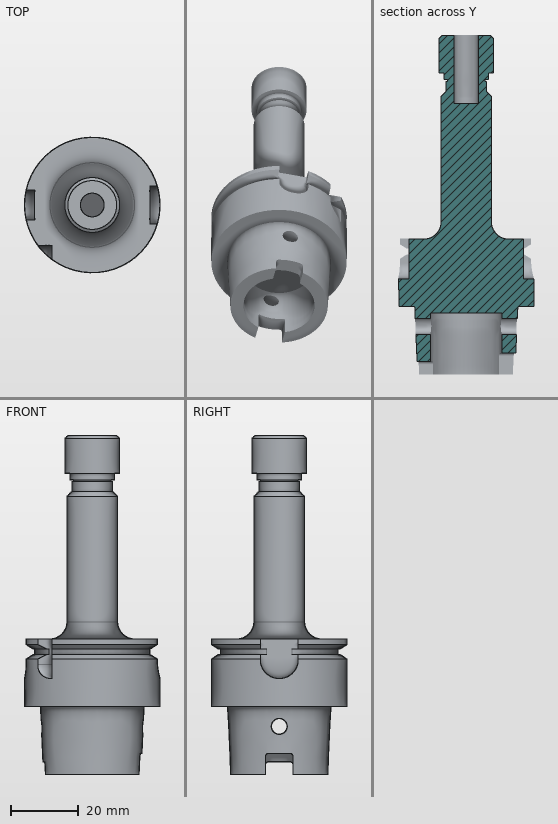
import cadquery as cq

TOTAL_HEIGHT = 100.0
FLANGE_BOTTOM = 20.0
FLANGE_TOP = 40.0
FLANGE_RADIUS = 20.0

TAPER_TOP_RADIUS = 15.3
TAPER_BOTTOM_RADIUS = 14.4
BORE_RADIUS = 10.5
BORE_DEPTH = 18.0
CROSS_HOLE_DIAMETER = 4.6
CROSS_HOLE_HEIGHT = 14.2
NOTCH_WIDTH = 8.1
NOTCH_CORNER_RADIUS = 0.8
SHALLOW_NOTCH_DEPTH = 3.7
DEEP_NOTCH_DEPTH = 6.2

GROOVE_RADIUS = 17.4
FLANK_FOOT_RADIUS = 18.0
GROOVE_MIDDLE = 36.2
GROOVE_FLOOR_WIDTH = 1.7
GROOVE_MOUTH_WIDTH = 4.3

KEYWAY_BOTTOM = 28.3
KEYWAY_FLOOR_X = 17.0
NARROW_KEYWAY_WIDTH = 8.8
WIDE_KEYWAY_WIDTH = 11.2
CORNER_SLOT_WIDTH = 8.4
CORNER_SLOT_WALL = 11.9

SHAFT_RADIUS = 7.5
SHAFT_FILLET = 5.0
SHAFT_TOP = 82.0
NECK_RADIUS = 6.0
NECK_TOP = 86.5
RELIEF_RADIUS = 5.6
COLLAR_BOTTOM = 86.9
COLLAR_RADIUS = 6.6

NUT_RADIUS = 8.1
NUT_HEIGHT = 11.2
NUT_CHAMFER = 0.9
TOOL_HOLE_DIAMETER = 7.0
TOOL_HOLE_DEPTH = 20.0


def turned_body():
    """Revolve the half profile of shank, grooved flange, shaft and nut."""
    half_floor = GROOVE_FLOOR_WIDTH / 2
    half_mouth = GROOVE_MOUTH_WIDTH / 2
    nut_bottom = TOTAL_HEIGHT - NUT_HEIGHT
    fillet_drop = SHAFT_FILLET * (1 - 0.5 ** 0.5)
    profile = (
        cq.Workplane("XZ")
        .lineTo(TAPER_BOTTOM_RADIUS, 0)
        .lineTo(TAPER_TOP_RADIUS, FLANGE_BOTTOM)
        .lineTo(FLANGE_RADIUS, FLANGE_BOTTOM)
        .lineTo(FLANGE_RADIUS, GROOVE_MIDDLE - half_mouth)
        .lineTo(FLANK_FOOT_RADIUS, GROOVE_MIDDLE - half_floor)
        .lineTo(GROOVE_RADIUS, GROOVE_MIDDLE - half_floor)
        .lineTo(GROOVE_RADIUS, GROOVE_MIDDLE + half_floor)
        .lineTo(FLANK_FOOT_RADIUS, GROOVE_MIDDLE + half_floor)
        .lineTo(FLANGE_RADIUS, GROOVE_MIDDLE + half_mouth)
        .lineTo(FLANGE_RADIUS, FLANGE_TOP)
        .lineTo(SHAFT_RADIUS + SHAFT_FILLET, FLANGE_TOP)
        .threePointArc(
            (SHAFT_RADIUS + fillet_drop, FLANGE_TOP + fillet_drop),
            (SHAFT_RADIUS, FLANGE_TOP + SHAFT_FILLET),
        )
        .lineTo(SHAFT_RADIUS, SHAFT_TOP)
        .lineTo(NECK_RADIUS, SHAFT_TOP + SHAFT_RADIUS - NECK_RADIUS)
        .lineTo(NECK_RADIUS, NECK_TOP)
        .lineTo(RELIEF_RADIUS, NECK_TOP)
        .lineTo(RELIEF_RADIUS, COLLAR_BOTTOM)
        .lineTo(COLLAR_RADIUS, COLLAR_BOTTOM)
        .lineTo(COLLAR_RADIUS, nut_bottom)
        .lineTo(NUT_RADIUS, nut_bottom)
        .lineTo(NUT_RADIUS, TOTAL_HEIGHT - NUT_CHAMFER)
        .lineTo(NUT_RADIUS - NUT_CHAMFER, TOTAL_HEIGHT)
        .lineTo(0, TOTAL_HEIGHT)
        .close()
    )
    return profile.revolve(360, (0, 0, 0), (0, 1, 0))


def keyway(width, center_y, inner_x, side):
    """Round-bottomed slot along X, reaching from inner_x out past the rim on the given side."""
    arc_center = KEYWAY_BOTTOM + width / 2
    length = FLANGE_RADIUS - inner_x
    return (
        cq.Workplane("YZ", origin=(side * inner_x, center_y, 0))
        .moveTo(-width / 2, FLANGE_TOP)
        .lineTo(-width / 2, arc_center)
        .threePointArc((0, KEYWAY_BOTTOM), (width / 2, arc_center))
        .lineTo(width / 2, FLANGE_TOP)
        .close()
        .extrude(side * length)
    )


def shank_notch(depth, side):
    """Drive notch through one wall of the hollow shank, with rounded inner corners."""
    return (
        cq.Workplane("XY")
        .box(TAPER_TOP_RADIUS, NOTCH_WIDTH, depth, centered=(False, True, False))
        .edges("|X and >Z")
        .fillet(NOTCH_CORNER_RADIUS)
        .translate((-TAPER_TOP_RADIUS if side < 0 else 0, 0, 0))
    )


body = turned_body()

bore = cq.Workplane("XY").circle(BORE_RADIUS).extrude(BORE_DEPTH)
tool_hole = (
    cq.Workplane("XY", origin=(0, 0, TOTAL_HEIGHT))
    .circle(TOOL_HOLE_DIAMETER / 2)
    .extrude(-TOOL_HOLE_DEPTH)
)
cross_hole = (
    cq.Workplane("YZ", origin=(0, 0, CROSS_HOLE_HEIGHT))
    .circle(CROSS_HOLE_DIAMETER / 2)
    .extrude(TAPER_TOP_RADIUS, both=True)
)
body = body.cut(bore).cut(tool_hole).cut(cross_hole)

body = body.cut(shank_notch(SHALLOW_NOTCH_DEPTH, -1))
body = body.cut(shank_notch(DEEP_NOTCH_DEPTH, 1))

corner_slot_y = -(CORNER_SLOT_WALL + CORNER_SLOT_WIDTH / 2)
body = body.cut(keyway(NARROW_KEYWAY_WIDTH, 0, KEYWAY_FLOOR_X, -1))
body = body.cut(keyway(WIDE_KEYWAY_WIDTH, 0, KEYWAY_FLOOR_X, 1))
body = body.cut(keyway(CORNER_SLOT_WIDTH, corner_slot_y, CORNER_SLOT_WALL, -1))

result = body